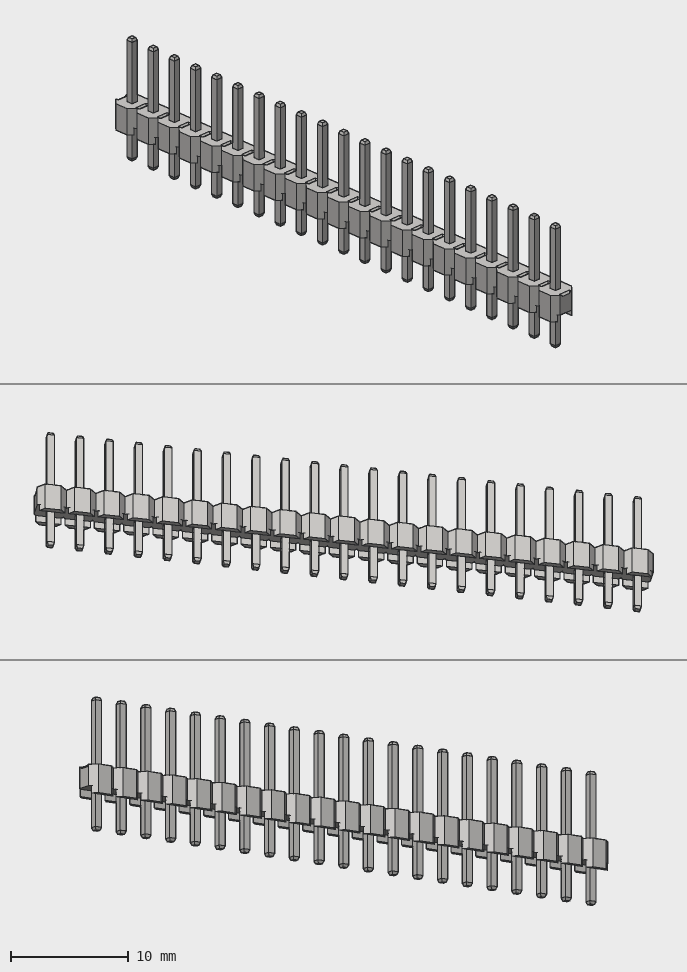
import cadquery as cq


pin_count = 21
row_length = 53.35
pitch = row_length / pin_count
body_width = 2.55
body_height = 2.5
corner_cut = 0.6
channel_width = 1.7
channel_height = 0.65

groove_depth = 0.185
groove_half_width = groove_depth
groove_top_length = 1.2
groove_bottom_length = groove_top_length - 2 * groove_depth

pin_size = 0.65
pin_top = 8.6
pin_bottom = -3.0
tip_length = 0.25
tip_inset = 0.1


def make_cell():
    """Octagonal insulator cell for one pin."""
    block = cq.Workplane("XY").box(pitch, body_width, body_height, centered=(True, True, False))
    return block.edges("|Z").chamfer(corner_cut)


def make_groove():
    """Cutter for a V groove with sloping ends, its top face level with the insulator top."""
    top = body_height
    bottom = body_height - groove_depth
    vee = (
        cq.Workplane("XZ")
        .polyline([(-groove_half_width, top), (groove_half_width, top), (0, bottom)]).close()
        .extrude(groove_top_length / 2, both=True)
    )
    side_outline = [
        (-groove_top_length / 2, top),
        (groove_top_length / 2, top),
        (groove_bottom_length / 2, bottom),
        (-groove_bottom_length / 2, bottom),
    ]
    sloping_ends = (
        cq.Workplane("YZ").polyline(side_outline).close().extrude(groove_half_width, both=True)
    )
    return vee.intersect(sloping_ends)


def make_tip(z_base, z_end):
    """Tapered four-sided end of a pin."""
    end_size = pin_size - 2 * tip_inset
    return (
        cq.Workplane("XY", origin=(0, 0, z_base)).rect(pin_size, pin_size)
        .workplane(offset=z_end - z_base).rect(end_size, end_size)
        .loft()
    )


def make_pin():
    """Square pin with both ends tapered."""
    shaft_top = pin_top - tip_length
    shaft_bottom = pin_bottom + tip_length
    shaft = (
        cq.Workplane("XY", origin=(0, 0, shaft_bottom)).rect(pin_size, pin_size)
        .extrude(shaft_top - shaft_bottom)
    )
    return shaft.union(make_tip(shaft_top, pin_top)).union(make_tip(shaft_bottom, pin_bottom))


cell = make_cell()
groove = make_groove()
pin = make_pin()

pin_positions = [(pitch * (i + 0.5) - row_length / 2, 0, 0) for i in range(pin_count)]
groove_positions = [(pitch * i - row_length / 2, 0, 0) for i in range(pin_count + 1)]

insulator = cq.Workplane("XY")
for position in pin_positions:
    insulator = insulator.union(cell.translate(position))

channel = cq.Workplane("XY").box(
    row_length, channel_width, channel_height, centered=(True, True, False)
)
insulator = insulator.cut(channel)

for position in groove_positions:
    insulator = insulator.cut(groove.translate(position))

result = insulator
for position in pin_positions:
    result = result.union(pin.translate(position))